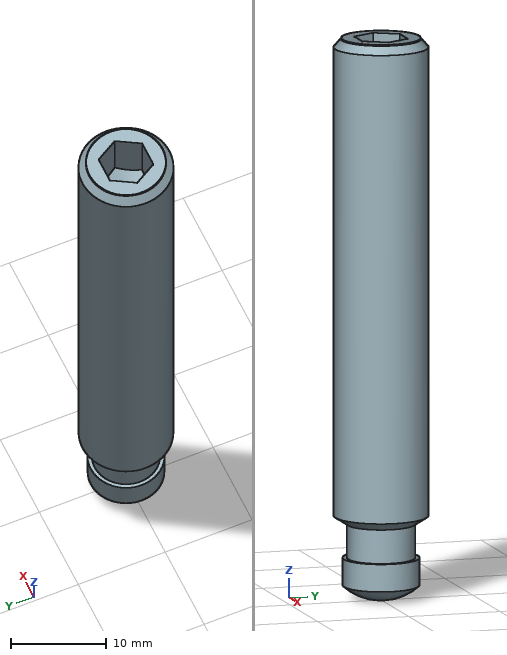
import cadquery as cq
import math

total_length = 60.0
shank_radius = 5.0
chamfer_width = 0.77
chamfer_height = 0.87
rim_radius = 4.18
rim_height = 0.13

neck_radius = 3.6
collar_radius = 4.05
dome_sphere_radius = 6.0
collar_top = 4.5
neck_top = 8.1
neck_cone_height = 0.9

socket_across_flats = 5.0
socket_depth = 5.0
socket_cone_angle = 120.0

chamfer_radius = shank_radius - chamfer_width
rim_base = total_length - rim_height
dome_height = dome_sphere_radius - math.sqrt(dome_sphere_radius**2 - collar_radius**2)
dome_mid_angle = math.asin(collar_radius / dome_sphere_radius) / 2
dome_mid_point = (
    dome_sphere_radius * math.sin(dome_mid_angle),
    dome_sphere_radius * (1 - math.cos(dome_mid_angle)),
)
socket_corner_radius = socket_across_flats / math.sqrt(3)
socket_cone_height = socket_corner_radius / math.tan(math.radians(socket_cone_angle / 2))


def make_screw_body():
    """Revolve the half outline, from the dome tip up to the socket end."""
    return (
        cq.Workplane("XZ")
        .moveTo(0, 0)
        .threePointArc(dome_mid_point, (collar_radius, dome_height))
        .lineTo(collar_radius, collar_top)
        .lineTo(neck_radius, collar_top)
        .lineTo(neck_radius, neck_top)
        .lineTo(shank_radius, neck_top + neck_cone_height)
        .lineTo(shank_radius, rim_base - chamfer_height)
        .lineTo(chamfer_radius, rim_base)
        .lineTo(rim_radius, rim_base)
        .lineTo(rim_radius, total_length)
        .lineTo(0, total_length)
        .close()
        .revolve(360, (0, 0, 0), (0, 1, 0))
    )


def make_socket():
    """Hexagonal prism, flats facing +Y and -Y, ending in a conical floor."""
    cone_base = total_length - socket_depth
    cone_tip = cone_base - socket_cone_height
    hexagon = (
        cq.Workplane("XY")
        .workplane(offset=cone_tip)
        .polygon(6, 2 * socket_corner_radius)
        .extrude(total_length - cone_tip)
    )
    pointed_bore = (
        cq.Workplane("XZ")
        .moveTo(0, cone_tip)
        .lineTo(socket_corner_radius, cone_base)
        .lineTo(socket_corner_radius, total_length)
        .lineTo(0, total_length)
        .close()
        .revolve(360, (0, 0, 0), (0, 1, 0))
    )
    return hexagon.intersect(pointed_bore)


result = make_screw_body().cut(make_socket())